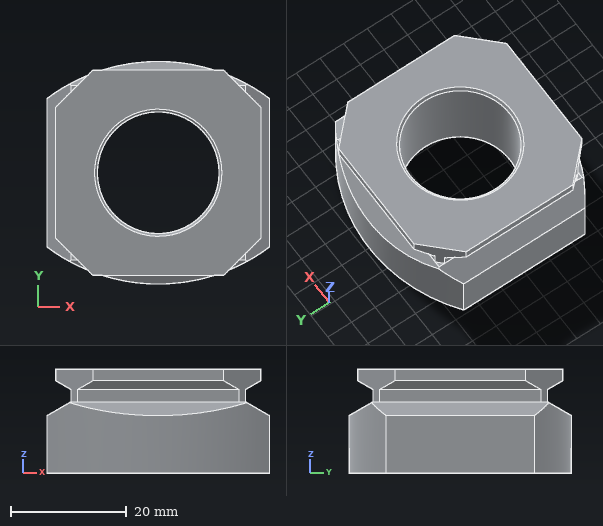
import cadquery as cq
import math

base_width = 38.5
bulge_radius = 32.0
base_side_height = 9.97
slope_angle = math.radians(30)

total_height = 18.0
neck_width = 30.2
plate_width = 35.5
plate_edge_height = 2.0
corner_cut = 6.45

bore_diameter = 21.0
bore_chamfer = 0.5

half_base = base_width / 2
base_slope_rise = (base_width - neck_width) / 2 * math.tan(slope_angle)
base_height = base_side_height + base_slope_rise
plate_slope_rise = (plate_width - neck_width) / 2 * math.tan(slope_angle)
plate_edge_bottom = total_height - plate_edge_height
plate_slope_bottom = plate_edge_bottom - plate_slope_rise


def square_block(width, bottom, top):
    return cq.Workplane("XY").workplane(offset=bottom).rect(width, width).extrude(top - bottom)


def square_frustum(bottom_width, top_width, bottom, top):
    return (
        cq.Workplane("XY")
        .workplane(offset=bottom)
        .rect(bottom_width, bottom_width)
        .workplane(offset=top - bottom)
        .rect(top_width, top_width)
        .loft(ruled=True, combine=True)
    )


def make_base():
    bulge_height = bulge_radius - math.sqrt(bulge_radius**2 - half_base**2)
    flat_half = half_base - bulge_height
    bulged_prism = (
        cq.Workplane("XY")
        .moveTo(-half_base, -flat_half)
        .threePointArc((0, -half_base), (half_base, -flat_half))
        .lineTo(half_base, flat_half)
        .threePointArc((0, half_base), (-half_base, flat_half))
        .close()
        .extrude(base_height)
    )
    envelope = square_block(base_width, 0, base_side_height).union(
        square_frustum(base_width, neck_width, base_side_height, base_height)
    )
    return bulged_prism.intersect(envelope)


def make_dovetail():
    neck = square_block(neck_width, base_height, plate_slope_bottom)
    underside = square_frustum(neck_width, plate_width, plate_slope_bottom, plate_edge_bottom)
    plate = square_block(plate_width, plate_edge_bottom, total_height)
    octagon = (
        cq.Workplane("XY")
        .rect(plate_width, plate_width)
        .extrude(total_height)
        .edges("|Z")
        .chamfer(corner_cut)
    )
    return neck.union(underside).union(plate).intersect(octagon)


body = make_base().union(make_dovetail())
bored = body.cut(cq.Workplane("XY").circle(bore_diameter / 2).extrude(total_height))

result = bored.faces(">Z").edges("%CIRCLE").chamfer(bore_chamfer)